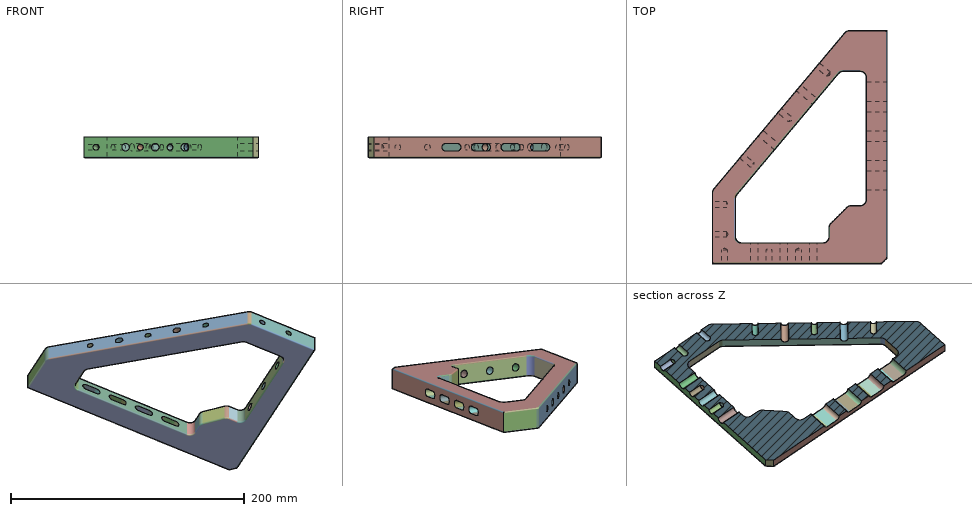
import cadquery as cq
import math

width = 150.0
length = 200.0
thickness = 18.0
edge_radius = 1.0
corner_radius = 5.0
corner_bevel = 5.0

slope_angle = math.radians(50)
slope_base_y = 62.8
slope_top_x = (length - slope_base_y) / math.tan(slope_angle)

left_wall = 20.0
bottom_wall = 18.0
sloped_wall = 18.5
window_right = 132.0
window_top = 165.0
notch_left = 100.0
notch_top = 50.0
notch_bevel = 17.0

tapped_diameter = 5.0
tapped_depth = 12.0
drill_tip_angle = math.radians(118)
through_diameter = 6.5
pitch = 25.5
mid_z = thickness / 2
front_corner_x = 10.5
front_row_x = front_corner_x + pitch
front_through_count = 3
left_tapped_count = 2
slope_first_y = 92.5
slope_hole_count = 5
slot_first_y = 71.5
slot_count = 4
slot_travel = 10.0
slot_width = through_diameter
slot_length = slot_travel + slot_width


def make_outline():
    """Solid plate with a sloped left side, with its two slope corners rounded."""
    plate = (
        cq.Workplane("XY")
        .polyline([
            (0, 0),
            (width - corner_bevel, 0),
            (width, corner_bevel),
            (width, length),
            (slope_top_x, length),
            (0, slope_base_y),
        ])
        .close()
        .extrude(thickness)
    )
    for corner in [(slope_top_x, length, mid_z), (0, slope_base_y, mid_z)]:
        plate = plate.edges(cq.NearestToPointSelector(corner)).fillet(corner_radius)
    return plate


def make_window():
    """Window with its sloped side parallel to the outer slope and a bevelled notch."""
    inner_slope_drop = sloped_wall / math.cos(slope_angle)
    inner_base_y = slope_base_y - inner_slope_drop + left_wall * math.tan(slope_angle)
    inner_top_x = left_wall + (window_top - inner_base_y) / math.tan(slope_angle)
    return (
        cq.Workplane("XY")
        .polyline([
            (left_wall, bottom_wall),
            (notch_left, bottom_wall),
            (notch_left, notch_top - notch_bevel),
            (notch_left + notch_bevel, notch_top),
            (window_right, notch_top),
            (window_right, window_top),
            (inner_top_x, window_top),
            (left_wall, inner_base_y),
        ])
        .close()
        .extrude(thickness)
        .edges("|Z")
        .fillet(corner_radius)
    )


def tapped_hole(x, y, direction):
    """Blind hole with a conical drill tip."""
    radius = tapped_diameter / 2
    tip_height = radius / math.tan(drill_tip_angle / 2)
    start = cq.Vector(x, y, mid_z)
    shaft = cq.Solid.makeCylinder(radius, tapped_depth, start, direction)
    tip = cq.Solid.makeCone(radius, 0, tip_height, start + direction * tapped_depth, direction)
    return shaft.fuse(tip)


def through_hole(x, y, direction, wall):
    """Plain hole through a wall into the window."""
    return cq.Solid.makeCylinder(through_diameter / 2, wall, cq.Vector(x, y, mid_z), direction)


def drill_front_face(body):
    """A tapped corner hole, then a row of through holes with tapped holes midway between them."""
    inward = cq.Vector(0, 1, 0)
    body = body.cut(tapped_hole(front_corner_x, 0, inward))
    for i in range(front_through_count):
        body = body.cut(through_hole(front_row_x + i * pitch, 0, inward, bottom_wall))
    for i in range(front_through_count - 1):
        body = body.cut(tapped_hole(front_row_x + pitch / 2 + i * pitch, 0, inward))
    return body


def drill_left_face(body):
    """Tapped holes spaced evenly from the lower left corner."""
    for i in range(left_tapped_count):
        body = body.cut(tapped_hole(0, (i + 1) * pitch, cq.Vector(1, 0, 0)))
    return body


def drill_sloped_face(body):
    """Tapped and through holes in turn, square to the sloped face."""
    inward = cq.Vector(math.sin(slope_angle), -math.cos(slope_angle), 0)
    for i in range(slope_hole_count):
        y = slope_first_y + i * pitch * math.sin(slope_angle)
        x = (y - slope_base_y) / math.tan(slope_angle)
        is_tapped = i % 2 == 0
        hole = tapped_hole(x, y, inward) if is_tapped else through_hole(x, y, inward, sloped_wall)
        body = body.cut(hole)
    return body


def make_slots():
    """Row of slots through the right wall, long along Y."""
    return (
        cq.Workplane("YZ", origin=(window_right, 0, 0))
        .pushPoints([(slot_first_y + i * pitch, mid_z) for i in range(slot_count)])
        .slot2D(slot_length, slot_width)
        .extrude(width - window_right)
    )


frame = make_outline().cut(make_window())
frame = frame.faces("<Z or >Z").fillet(edge_radius)
frame = drill_front_face(frame)
frame = drill_left_face(frame)
frame = drill_sloped_face(frame)
result = frame.cut(make_slots())